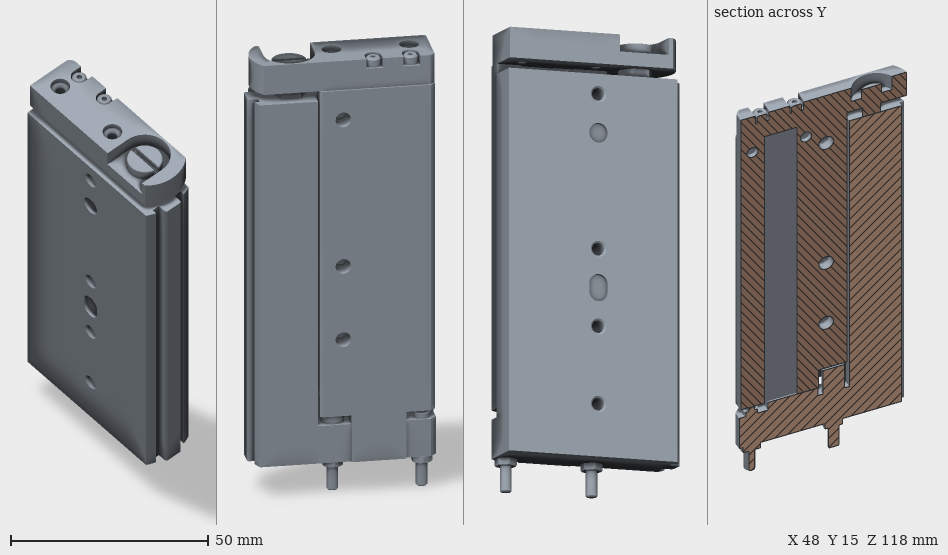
import cadquery as cq
import math


housing_length = 98.8
housing_depth = 14.4
housing_flat_width = 45.5
housing_bulge = 1.7
table_seat_y = 9.3
table_seat_width = 30.6
end_block_height = 10.2
end_block_chamfer = 1.5

overall_width = 47.98
rib_center_y = housing_depth / 2
rib_width = 5.2
rib_chamfer = 0.4
groove_width = 2.1
groove_depth_x = 45.2

mount_x = 24.2
mount_pitch = 20
mount_lowest_z = 13.6
mount_middle_z = mount_lowest_z + mount_pitch
mount_upper_z = mount_middle_z + mount_pitch
mount_top_z = mount_upper_z + 2 * mount_pitch
mount_diameter = 3.24
mount_mouth_diameter = 4.13
pin_diameter = 5
pin_slot_length = 7
pin_depth = 1
pin_offset = mount_pitch / 2

near_rod = (3.5, 11.95)
far_rod = (26.3, 10.8)
rod_diameter = 3
rod_tip_z = -8.5
rod_chamfer = 0.3
nut_across_flats = 5
nut_height = 1.8
nut_chamfer = 0.3
bumper_diameter = 4.13
bumper_height = 1.4
stop_post_diameter = 6
stop_post_top_z = 18
stop_pad_x = (8, 22)

table_left = 0.4
table_right = 30.1
table_front = 9.8
table_back = 15
table_bottom = 12.75
table_chamfer = 1.2
table_small_chamfer = 0.5
rail_groove_x = (7.1, 21.0)
rail_step_x = 16.05
rail_groove_depth = 0.6
rail_step_depth = 1.2
access_diameter = 4
rail_screw_x = (3.73, 18.6)
rail_screw_diameter = 3
rail_screw_depth = 2
rail_screw_rise = 0.25
post_notch_left = 22.2
post_notch_back = 14.2
post_clearance = 0.5

plate_gap = 2.8
plate_thickness = 7.9
plate_front = 0.5
plate_back = 14.4
plate_flat_right = 44.5
plate_bulge = 2.7
plate_bottom = housing_length + plate_gap
plate_top = plate_bottom + plate_thickness

joint_x = 36.8
joint_y = 7.25
pocket_width = 13.2
pocket_depth = 4.4
head_diameter = 9
head_recess = 1.5
head_chamfer = 0.2
head_slot_width = 1.5
head_slot_depth = 1.6
joint_hex_flats = 8
joint_hex_chamfer = 0.4

plate_hole_x = (5.7, 25.7)
plate_hole_y = 6.1
plate_hole_diameter = 2.46
plate_hole_mouth = 3.24
plate_counterbore = 5
plate_counterbore_depth = 1.5
screw_x = (6.4, 16.0)
screw_y = 11.9
screw_notch_width = 4.3
screw_notch_depth = 2.6
screw_head_diameter = 3.8
screw_head_height = 2.3
screw_head_chamfer = 0.4
screw_socket_flats = 1.3
screw_socket_depth = 0.8


def box(x_range, y_range, z_range):
    sizes = [high - low for low, high in (x_range, y_range, z_range)]
    corner = (x_range[0], y_range[0], z_range[0])
    return cq.Workplane("XY").box(*sizes, centered=False).translate(corner)


def post(x, y, diameter, bottom, top):
    """Round post along Z."""
    return cq.Workplane("XY", origin=(x, y, bottom)).circle(diameter / 2).extrude(top - bottom)


def hexagon(x, y, flats, bottom, top, turn=0):
    """Hexagonal prism along Z; its corners point along X before it is turned."""
    corners = flats / math.cos(math.pi / 6)
    prism = cq.Workplane("XY").polygon(6, corners).extrude(top - bottom)
    return prism.rotate((0, 0, 0), (0, 0, 1), turn).translate((x, y, bottom))


def chamfered_hexagon(x, y, flats, bottom, top, chamfer, chamfer_face, turn=0):
    """Hexagonal prism whose corners are turned down to a cone at one end."""
    radius = flats / 2 / math.cos(math.pi / 6)
    envelope = post(x, y, 2 * radius, bottom, top).faces(chamfer_face).chamfer(chamfer)
    return hexagon(x, y, flats, bottom, top, turn).intersect(envelope)


def bore_y(x, z, diameter, start, end):
    """Round cutter along Y."""
    plane = cq.Plane(origin=(x, start, z), xDir=(1, 0, 0), normal=(0, 1, 0))
    return cq.Workplane(plane).circle(diameter / 2).extrude(end - start)


def mounting_bore(z):
    """Threaded mounting hole with a chamfered mouth."""
    mouth_depth = (mount_mouth_diameter - mount_diameter) / 2
    mouth = cq.Solid.makeCone(
        mount_mouth_diameter / 2, mount_diameter / 2, mouth_depth,
        pnt=cq.Vector(mount_x, 0, z), dir=cq.Vector(0, 1, 0),
    )
    return bore_y(mount_x, z, mount_diameter, 0, table_seat_y).union(cq.Workplane(mouth))


def housing_body():
    profile = (
        cq.Workplane("XY")
        .lineTo(housing_flat_width, 0)
        .threePointArc(
            (housing_flat_width + housing_bulge, rib_center_y),
            (housing_flat_width, housing_depth),
        )
        .lineTo(table_seat_width, housing_depth)
        .lineTo(table_seat_width, table_seat_y)
        .lineTo(0, table_seat_y)
        .close()
    )
    body = profile.extrude(housing_length)

    rib_y = (rib_center_y - rib_width / 2, rib_center_y + rib_width / 2)
    rib = box((groove_depth_x, overall_width), rib_y, (0, housing_length))
    body = body.union(rib.faces(">X").edges("|Z").chamfer(rib_chamfer))
    lower_groove_y = (rib_y[0] - groove_width, rib_y[0])
    upper_groove_y = (rib_y[1], rib_y[1] + groove_width)
    for groove_y in (lower_groove_y, upper_groove_y):
        body = body.cut(box((groove_depth_x, overall_width), groove_y, (0, housing_length)))

    block = box((0, table_seat_width), (0, housing_depth), (0, end_block_height))
    body = body.union(block.edges("|Z and <X and >Y").chamfer(end_block_chamfer))
    return body.union(box(stop_pad_x, (table_seat_y, table_back), (0, table_bottom)))


def mounting_holes():
    """Cutters for the mounting holes, the locating hole and the locating slot."""
    holes = mounting_bore(mount_lowest_z)
    for z in (mount_middle_z, mount_upper_z, mount_top_z):
        holes = holes.union(mounting_bore(z))
    holes = holes.union(bore_y(mount_x, mount_top_z - pin_offset, pin_diameter, 0, pin_depth))
    slot_plane = cq.Plane(
        origin=(mount_x, 0, mount_upper_z - pin_offset), xDir=(1, 0, 0), normal=(0, 1, 0)
    )
    slot = cq.Workplane(slot_plane).slot2D(pin_slot_length, pin_diameter, 90).extrude(pin_depth)
    return holes.union(slot)


def adjuster(x, y):
    """Threaded rod with a lock nut below the housing and a bumper in the gap under the table."""
    rod = post(x, y, rod_diameter, rod_tip_z, table_bottom).faces("<Z").chamfer(rod_chamfer)
    nut = chamfered_hexagon(x, y, nut_across_flats, -nut_height, 0, nut_chamfer, "<Z", turn=90)
    bumper_top = end_block_height + bumper_height
    bumper = post(x, y, bumper_diameter, end_block_height, bumper_top)
    return rod.union(nut).union(bumper)


def table_slab():
    slab = box((table_left, table_right), (table_front, table_back), (table_bottom, plate_bottom))
    slab = slab.edges("|Z and <X and >Y").chamfer(table_chamfer)
    slab = slab.edges("|Z and >X and >Y").chamfer(table_small_chamfer)

    full_height = (table_bottom, plate_bottom)
    groove_y = (table_front, table_front + rail_groove_depth)
    step_y = (table_front, table_front + rail_step_depth)
    slab = slab.cut(box(rail_groove_x, groove_y, full_height))
    slab = slab.cut(box((rail_groove_x[0], rail_step_x), step_y, full_height))

    screw_z = housing_length + rail_screw_rise - rail_screw_diameter / 2
    for x in rail_screw_x:
        screw_end = table_front + rail_screw_depth
        slab = slab.cut(bore_y(x, screw_z, rail_screw_diameter, table_front, screw_end))
    for z in (mount_middle_z, mount_upper_z, mount_top_z):
        slab = slab.cut(bore_y(mount_x, z, access_diameter, table_front, table_back))

    notch_top = stop_post_top_z + post_clearance
    return slab.cut(
        box((post_notch_left, table_right), (table_front, post_notch_back), (table_bottom, notch_top))
    )


def end_plate():
    middle_y = (plate_front + plate_back) / 2
    plate = (
        cq.Workplane("XY", origin=(0, 0, plate_bottom))
        .moveTo(table_left, plate_front)
        .lineTo(plate_flat_right, plate_front)
        .threePointArc(
            (plate_flat_right + plate_bulge, middle_y), (plate_flat_right, plate_back)
        )
        .lineTo(table_left + table_chamfer, plate_back)
        .lineTo(table_left, plate_back - table_chamfer)
        .close()
        .extrude(plate_thickness)
    )

    pocket_floor = plate_top - pocket_depth
    pocket_x = (joint_x - pocket_width / 2, joint_x + pocket_width / 2)
    plate = plate.cut(post(joint_x, joint_y, pocket_width, pocket_floor, plate_top))
    plate = plate.cut(box(pocket_x, (0, joint_y), (pocket_floor, plate_top)))

    for x in plate_hole_x:
        plate = plate.cut(plate_hole(x))
    for x in screw_x:
        plate = plate.cut(screw_notch(x)).union(small_screw(x))
    return plate


def plate_hole(x):
    """Cutter for a tapped through hole with a counterbore and a chamfered thread mouth."""
    ledge = plate_top - plate_counterbore_depth
    hole = post(x, plate_hole_y, plate_hole_diameter, plate_bottom, plate_top)
    counterbore = post(x, plate_hole_y, plate_counterbore, ledge, plate_top)
    mouth = cq.Solid.makeCone(
        plate_hole_mouth / 2, plate_hole_diameter / 2,
        (plate_hole_mouth - plate_hole_diameter) / 2,
        pnt=cq.Vector(x, plate_hole_y, ledge), dir=cq.Vector(0, 0, -1),
    )
    return hole.union(counterbore).union(cq.Workplane(mouth))


def screw_notch(x):
    """Cutter for a round-bottomed notch, open at the back of the plate."""
    floor = plate_top - screw_notch_depth
    notch_x = (x - screw_notch_width / 2, x + screw_notch_width / 2)
    mouth = box(notch_x, (screw_y, plate_back), (floor, plate_top))
    return post(x, screw_y, screw_notch_width, floor, plate_top).union(mouth)


def small_screw(x):
    """Socket head standing on the notch floor."""
    floor = plate_top - screw_notch_depth
    top = floor + screw_head_height
    head = post(x, screw_y, screw_head_diameter, floor, top).faces(">Z").chamfer(screw_head_chamfer)
    socket_floor = top - screw_socket_depth
    return head.cut(hexagon(x, screw_y, screw_socket_flats, socket_floor, top, turn=90))


def joint_head():
    top = plate_top - head_recess
    head = post(joint_x, joint_y, head_diameter, plate_top - pocket_depth, top)
    head = head.faces(">Z").chamfer(head_chamfer)
    slot_x = (joint_x - head_diameter / 2, joint_x + head_diameter / 2)
    slot_y = (joint_y - head_slot_width / 2, joint_y + head_slot_width / 2)
    return head.cut(box(slot_x, slot_y, (top - head_slot_depth, top)))


def joint_hexagon():
    return chamfered_hexagon(
        joint_x, joint_y, joint_hex_flats, housing_length, plate_bottom, joint_hex_chamfer, ">Z"
    )


housing = housing_body().cut(mounting_holes())
housing = housing.union(post(*far_rod, stop_post_diameter, end_block_height, stop_post_top_z))
for rod_position in (near_rod, far_rod):
    housing = housing.union(adjuster(*rod_position))

table = table_slab().union(end_plate()).union(joint_head()).union(joint_hexagon())

result = cq.Compound.makeCompound([housing.val(), table.val()])